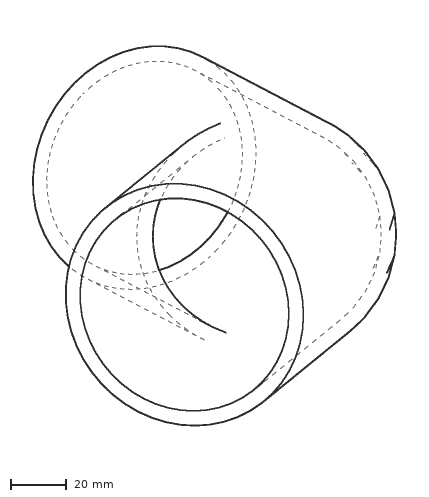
import cadquery as cq
import math

overall_length = 204.2
outer_diameter = 90.0
wall_thickness = 5.5
bend_angle = 45.0

outer_radius = outer_diameter / 2
inner_radius = outer_radius - wall_thickness
bend = math.radians(bend_angle)

leg_length = (overall_length - outer_radius * math.sin(bend)) / (1 + math.cos(bend))

inlet_direction = cq.Vector(-1, 0, 0)
outlet_direction = cq.Vector(math.cos(bend), -math.sin(bend), 0)


def elbow_solid(radius):
    """Solid round elbow: a ball at the joint with a cylinder along each leg."""
    joint = cq.Workplane("XY").sphere(radius)
    for direction in (inlet_direction, outlet_direction):
        leg = cq.Solid.makeCylinder(radius, leg_length, cq.Vector(0, 0, 0), direction)
        joint = joint.union(cq.Workplane(obj=leg))
    return joint


result = elbow_solid(outer_radius).cut(elbow_solid(inner_radius))